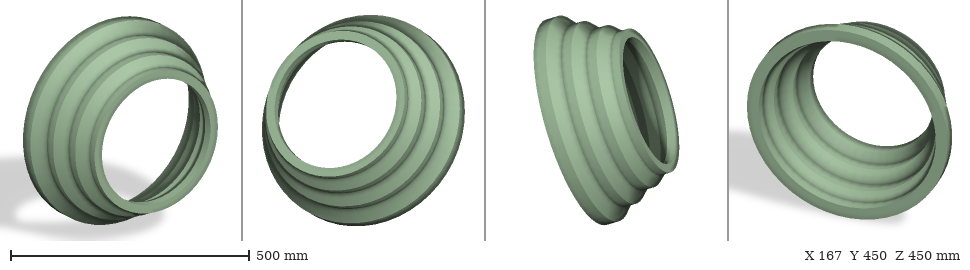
import cadquery as cq

length = 167.0
rim_end = 28.0
second_start = 52.0
second_end = 75.0
third_start = 99.5
third_end = 123.8
small_start = 147.0

rim_radius = 225.0
second_radius = 200.0
third_radius = 177.5
small_radius = 157.5

rim_bore = 198.5
second_bore = 181.5
third_bore = 158.5
small_bore = 138.5

second_bore_start = rim_end + rim_bore - second_bore


def stepped_solid(radii, first_cone_end):
    """Solid of cylindrical bands joined by cones, turned about the X axis."""
    first, second, third, last = radii
    return (
        cq.Workplane("XY")
        .polyline([
            (0, 0),
            (0, first),
            (rim_end, first),
            (first_cone_end, second),
            (second_end, second),
            (third_start, third),
            (third_end, third),
            (small_start, last),
            (length, last),
            (length, 0),
        ])
        .close()
        .revolve(360, (0, 0, 0), (1, 0, 0))
    )


body = stepped_solid([rim_radius, second_radius, third_radius, small_radius], second_start)
bore = stepped_solid([rim_bore, second_bore, third_bore, small_bore], second_bore_start)

result = body.cut(bore)